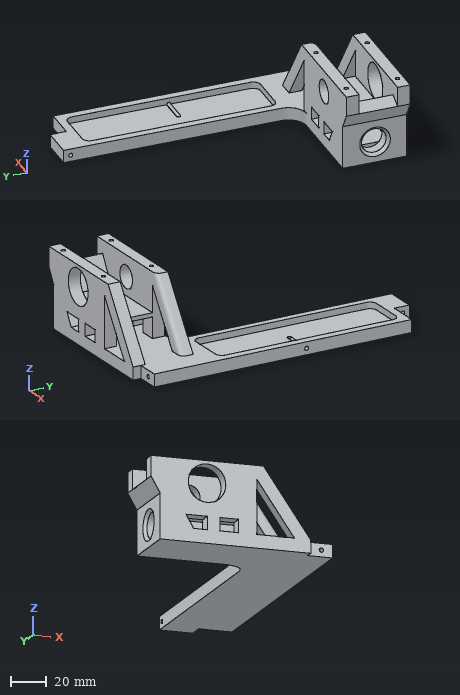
import cadquery as cq
import math

length_x = 110.0
length_y = 181.0
height = 48.1
base_height = 8.0

head_width = 38.7
wall = 7.8
nose_x = 5.5
nose_top = 36.0
top_end_x = 67.0
toe_x = 95.0
block_end_x = 63.0
block_top = 23.5
cavity_top = 21.0
cavity_start_x = 13.5
lip_top = 40.0
lip_slope = math.tan(math.radians(60))
nose_bottom = nose_top - nose_x * lip_slope
slope_fillet = 3.3

cross_hole_x = 33.3
cross_hole_z = 35.0
front_hole_d = 22.3
rear_hole_d = 14.1
window_top = 15.7
slant_window_x = 25.3
slant_window_end = 33.5
square_window_x = 41.0
square_window_end = 52.1
triangle_end_x = 85.3
triangle_top = base_height + (
    (triangle_end_x - block_end_x) * (height - base_height) / (toe_x - top_end_x)
)

bore_y = 19.2
bore_z = 13.0
bore_d = 14.8
mouth_d = 18.5
mouth_depth = 1.8

arm_x = 70.2
arm_front_y = 5.0
tab_end_x = 90.3
tab_start_y = 171.2
inner_corner_radius = 10.9
pocket_x = 75.0
pocket_end_x = 105.0
pocket_y = 49.8
pocket_end_y = 166.2
pocket_floor = 4.0
pocket_corner_radius = 4.3

pin_z = base_height / 2
small_hole_d = 2.4
small_hole_depth = 10.0
top_hole_xs = (9.8, 54.8)
front_pin_x = 103.2
tab_hole_y = 176.7
side_hole_y = 103.4
side_hole_tip_x = 89.0
drill_point = small_hole_d / 2


def prism_y(points, start_y, end_y):
    """Extrude an XZ outline between two Y positions."""
    plane = cq.Workplane("XZ", origin=(0, start_y, 0))
    return plane.polyline(points).close().extrude(start_y - end_y)


def box(x, end_x, y, end_y, z, end_z):
    corner_box = cq.Workplane().box(end_x - x, end_y - y, end_z - z, centered=False)
    return corner_box.translate((x, y, z))


def cylinder(diameter, depth, start, direction):
    return cq.Workplane(
        cq.Solid.makeCylinder(diameter / 2, depth, cq.Vector(*start), cq.Vector(*direction))
    )


def side_wall(start_y, end_y):
    outline = [
        (nose_x, 0), (toe_x, 0), (toe_x, base_height), (top_end_x, height),
        (0, height), (0, nose_top), (nose_x, nose_bottom),
    ]
    return prism_y(outline, start_y, end_y)


def rear_wall():
    body = side_wall(head_width - wall, head_width)
    middle = ((top_end_x + toe_x) / 2, head_width - wall, (height + base_height) / 2)
    return body.edges(cq.selectors.NearestToPointSelector(middle)).fillet(slope_fillet)


def head_block():
    """Hollow block between the walls, open to the right, with a sloping lip over the nose."""
    lip_x = slant_window_x - (lip_top - base_height) / lip_slope
    block_start_x = slant_window_x - (block_top - base_height) / lip_slope
    outline = [
        (nose_x, 0), (block_end_x, 0), (block_end_x, block_top), (block_start_x, block_top),
        (lip_x, lip_top), (0, nose_top), (nose_x, nose_bottom),
    ]
    body = prism_y(outline, wall, head_width - wall)
    cavity = box(
        cavity_start_x, block_end_x, wall, head_width - wall, base_height, cavity_top
    )
    return body.cut(cavity)


def arm():
    plate = (
        cq.Workplane()
        .moveTo(nose_x, arm_front_y)
        .lineTo(length_x, arm_front_y)
        .lineTo(length_x, tab_start_y)
        .lineTo(tab_end_x, tab_start_y)
        .lineTo(tab_end_x, length_y)
        .lineTo(arm_x, length_y)
        .lineTo(arm_x, head_width + inner_corner_radius)
        .radiusArc((arm_x - inner_corner_radius, head_width), inner_corner_radius)
        .lineTo(nose_x, head_width)
        .close()
        .extrude(base_height)
    )
    pocket = box(pocket_x, pocket_end_x, pocket_y, pocket_end_y, pocket_floor, base_height)
    return plate.cut(pocket.edges("|Z").fillet(pocket_corner_radius))


def wall_openings():
    slant_top_x = slant_window_x - (window_top - base_height) / lip_slope
    outlines = [
        [
            (slant_window_x, base_height), (slant_window_end, base_height),
            (slant_window_end, window_top), (slant_top_x, window_top),
        ],
        [
            (square_window_x, base_height), (square_window_end, base_height),
            (square_window_end, window_top), (square_window_x, window_top),
        ],
        [
            (block_end_x, base_height), (triangle_end_x, base_height),
            (block_end_x, triangle_top),
        ],
    ]
    wall_spans = [(0, wall), (head_width - wall, head_width)]
    cuts = [prism_y(outline, *span) for outline in outlines for span in wall_spans]
    cuts.append(cylinder(front_hole_d, wall, (cross_hole_x, 0, cross_hole_z), (0, 1, 0)))
    cuts.append(cylinder(rear_hole_d, head_width, (cross_hole_x, 0, cross_hole_z), (0, 1, 0)))
    return cuts


def lengthwise_bore():
    """Bore through the nose into the cavity, turned as one profile with its mouth."""
    depth = cavity_start_x - nose_x
    profile = (
        cq.Workplane("XY", origin=(nose_x, bore_y, bore_z))
        .polyline([
            (0, 0), (depth, 0), (depth, bore_d / 2),
            (mouth_depth, bore_d / 2), (0, mouth_d / 2),
        ])
        .close()
    )
    return profile.revolve(360, (0, 0, 0), (1, 0, 0))


def small_holes():
    holes = []
    for x in top_hole_xs:
        for y in (wall / 2, head_width - wall / 2):
            holes.append(cylinder(small_hole_d, small_hole_depth, (x, y, height), (0, 0, -1)))
    holes.append(
        cylinder(small_hole_d, small_hole_depth, (front_pin_x, arm_front_y, pin_z), (0, 1, 0))
    )
    holes.append(
        cylinder(small_hole_d, tab_end_x - arm_x, (arm_x, tab_hole_y, pin_z), (1, 0, 0))
    )
    return holes


def side_hole():
    """Hole from the right face into the pocket, grooving its floor, with a drill point."""
    shank_end_x = side_hole_tip_x + drill_point
    start = (length_x, side_hole_y, pin_z)
    shank = cylinder(small_hole_d, length_x - shank_end_x, start, (-1, 0, 0))
    tip = cq.Solid.makeCone(
        small_hole_d / 2, 0, drill_point,
        cq.Vector(shank_end_x, side_hole_y, pin_z), cq.Vector(-1, 0, 0),
    )
    return shank.union(cq.Workplane(tip))


result = arm().union(side_wall(0, wall)).union(rear_wall()).union(head_block())
for cut in wall_openings() + [lengthwise_bore(), side_hole()] + small_holes():
    result = result.cut(cut, clean=False)